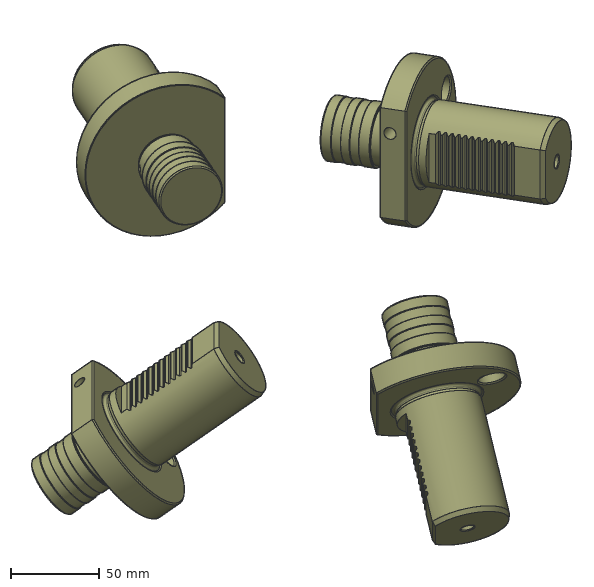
import cadquery as cq
import math

X_DIRECTION = (1, 0, 0)
Y_DIRECTION = (0, 1, 0)

total_length = 136.0
flange_start = 78.0
flange_end = 94.0
head_start = 105.8

shank_radius = 25.0
shank_flat_y = 19.9
shank_flat_end = 69.8
shank_chamfer_length = 3.0
shank_chamfer_drop = 1.1

gap_count = 12
gap_first_x = 20.1
gap_last_x = 64.2
gap_pitch = (gap_last_x - gap_first_x) / (gap_count - 1)
gap_depth = 1.2
gap_top_width = 3.3
gap_bottom_width = 0.8

flange_radius = 49.0
flange_flat_y = 35.1
flange_front_chamfer = 0.8
flange_rear_chamfer = 0.4

shank_relief_length = 3.8
shank_relief_depth = 0.8
shank_relief_taper = 1.8
shank_relief_fillet = 1.5

recess_outer_radius = 27.2
recess_floor_radius = 26.4
recess_depth = 0.48

neck_radius = 17.5
neck_relief_depth = 0.4
neck_relief_length = 1.9
neck_relief_taper = 0.8
head_radius = 19.0
head_chamfer = 0.8
head_edge_chamfer = 0.4
head_groove_depth = 0.4
head_grooves = (
    (112.5, 118.3, 0.4, 0.4),
    (123.5, 129.5, 0.0, 0.4),
)

end_hole_radius = 3.8
end_hole_depth = 16.3
end_hole_chamfer = 0.5

inlet_y = -32.0
inlet_z = 18.9
inlet_radius = 7.8
inlet_depth = 8.0
inlet_drill_radius = 7.6
inlet_drill_depth = 9.8
inlet_chamfer = 0.8
drill_point_angle = 118.0
cross_hole_diameter = 7.2

neck_hole_x = 97.2
neck_hole_radius = 1.9
neck_hole_depth = 6.8


def revolve_about_x(outline):
    """Revolve a closed XY outline about the X axis."""
    return outline.close().revolve(360, (0, 0, 0), X_DIRECTION)


def frustum(x_start, length, radius_start, radius_end):
    """Cone frustum about the X axis."""
    return cq.Workplane(
        obj=cq.Solid.makeCone(
            radius_start,
            radius_end,
            length,
            cq.Vector(x_start, 0, 0),
            cq.Vector(*X_DIRECTION),
        )
    )


def cylinder(base, direction, length, radius):
    """Cylinder from a base point along a direction."""
    return cq.Workplane(obj=cq.Solid.makeCylinder(radius, length, cq.Vector(*base), cq.Vector(*direction)))


def make_shank():
    relief_radius = shank_radius - shank_relief_depth
    relief_start = flange_start - shank_relief_length
    floor_x = flange_start + recess_depth
    body = revolve_about_x(
        cq.Workplane("XY")
        .lineTo(0, shank_radius - shank_chamfer_drop)
        .lineTo(shank_chamfer_length, shank_radius)
        .lineTo(relief_start, shank_radius)
        .lineTo(relief_start + shank_relief_taper, relief_radius)
        .lineTo(floor_x - shank_relief_fillet, relief_radius)
        .radiusArc((floor_x, relief_radius + shank_relief_fillet), -shank_relief_fillet)
        .lineTo(floor_x, 0)
    )
    cut = (
        cq.Workplane("XY")
        .moveTo(0, shank_flat_y - shank_chamfer_drop)
        .lineTo(shank_chamfer_length, shank_flat_y)
    )
    for index in range(gap_count):
        center = gap_first_x + index * gap_pitch
        cut = (
            cut.lineTo(center - gap_top_width / 2, shank_flat_y)
            .lineTo(center - gap_bottom_width / 2, shank_flat_y - gap_depth)
            .lineTo(center + gap_bottom_width / 2, shank_flat_y - gap_depth)
            .lineTo(center + gap_top_width / 2, shank_flat_y)
        )
    cut = (
        cut.lineTo(shank_flat_end, shank_flat_y)
        .lineTo(shank_flat_end, shank_radius)
        .lineTo(0, shank_radius)
        .close()
        .extrude(shank_radius, both=True)
    )
    return body.cut(cut)


def make_flange():
    thickness = flange_end - flange_start
    beyond_flat = (
        cq.Workplane("XY")
        .box(thickness, flange_radius, 2 * flange_radius, centered=(False, False, True))
        .translate((flange_start, flange_flat_y, 0))
    )
    disc = cylinder((flange_start, 0, 0), X_DIRECTION, thickness, flange_radius).cut(beyond_flat)
    disc = disc.faces("<X").edges().chamfer(flange_front_chamfer)
    disc = disc.faces(">X").edges().chamfer(flange_rear_chamfer)
    recess = frustum(flange_start, recess_depth, recess_outer_radius, recess_floor_radius)
    return disc.cut(recess)


def make_neck_and_head():
    relief_radius = neck_radius - neck_relief_depth
    relief_end = flange_end + neck_relief_length
    outline = (
        cq.Workplane("XY")
        .moveTo(flange_end, 0)
        .lineTo(flange_end, relief_radius)
        .lineTo(relief_end - neck_relief_taper, relief_radius)
        .lineTo(relief_end, neck_radius)
        .lineTo(head_start, neck_radius)
        .lineTo(head_start, head_radius - head_edge_chamfer)
        .lineTo(head_start + head_edge_chamfer, head_radius)
    )
    for groove_start, groove_end, start_wall, end_wall in head_grooves:
        outline = (
            outline.lineTo(groove_start, head_radius)
            .lineTo(groove_start + start_wall, head_radius - head_groove_depth)
            .lineTo(groove_end - end_wall, head_radius - head_groove_depth)
            .lineTo(groove_end, head_radius)
        )
    outline = (
        outline.lineTo(total_length - head_chamfer, head_radius)
        .lineTo(total_length, head_radius - head_chamfer)
        .lineTo(total_length, 0)
    )
    return revolve_about_x(outline)


def cut_coolant_inlet(body):
    cross_hole_x = flange_start + inlet_drill_depth
    point_length = inlet_drill_radius / math.tan(math.radians(drill_point_angle / 2))
    bore = revolve_about_x(
        cq.Workplane("XY")
        .lineTo(0, inlet_radius + inlet_chamfer)
        .lineTo(inlet_chamfer, inlet_radius)
        .lineTo(inlet_depth, inlet_radius)
        .lineTo(inlet_depth, inlet_drill_radius)
        .lineTo(inlet_drill_depth, inlet_drill_radius)
        .lineTo(inlet_drill_depth + point_length, 0)
    ).translate((flange_start, inlet_y, inlet_z))
    cross_hole = cylinder(
        (cross_hole_x, inlet_y, inlet_z),
        Y_DIRECTION,
        flange_flat_y - inlet_y,
        cross_hole_diameter / 2,
    )
    return body.cut(bore).cut(cross_hole)


def cut_end_hole(body):
    hole = cylinder((0, 0, 0), X_DIRECTION, end_hole_depth, end_hole_radius)
    mouth = frustum(0, end_hole_chamfer, end_hole_radius + end_hole_chamfer, end_hole_radius)
    return body.cut(hole).cut(mouth)


def cut_neck_hole(body):
    hole = cylinder((neck_hole_x, -neck_radius, 0), Y_DIRECTION, neck_hole_depth, neck_hole_radius)
    return body.cut(hole)


result = make_flange().union(make_shank()).union(make_neck_and_head())
result = cut_end_hole(result)
result = cut_coolant_inlet(result)
result = cut_neck_hole(result)